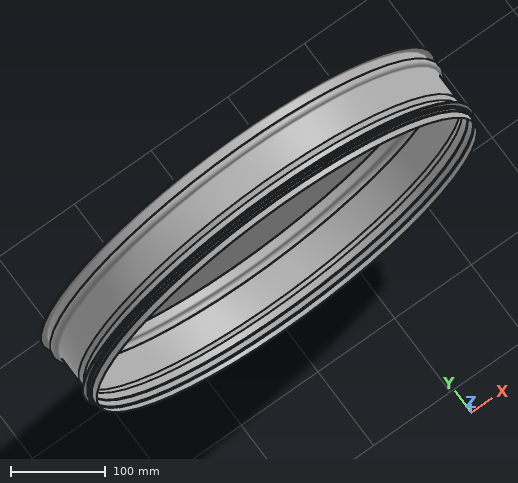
import cadquery as cq
import math

outer_diameter = 514.0
depth = 90.0
sheet = 0.5
plate_thickness = 1.5

flange_radius = outer_diameter / 2
wall_radius = 499.0 / 2
groove_radius = 493.5 / 2
bead_peak_radius = 511.0 / 2

flange_back = depth - plate_thickness
flange_front = flange_back - sheet
step_back = 31.5
step_front = 25.0
lip_slope_back = 15.0
lip_slope_front = 8.5

flange_bend = 1.5
lip_bend = 1.5
bead_centre = 72.5
bead_round = 4.5
bead_root_round = 2.0

gasket_radius = 500.0 / 2
gasket_front = 7.0
gasket_back = 16.5
fin_radius = 510.0 / 2
fin_thickness = 1.5
small_fin_radius = 504.0 / 2
small_fin_back = 12.5


def revolve(profile):
    """Turn a closed (radius, y) profile around the Y axis."""
    return profile.close().revolve(360, (0, 0, 0), (0, 1, 0))


def point_at(centre, radius, angle):
    """Point on a circle at an angle in degrees."""
    return (
        centre[0] + radius * math.cos(math.radians(angle)),
        centre[1] + radius * math.sin(math.radians(angle)),
    )


def add_arc(profile, centre, radius, start_angle, end_angle):
    """Continue a profile, already at the start angle, along an arc to the end angle."""
    middle = point_at(centre, radius, (start_angle + end_angle) / 2)
    return profile.threePointArc(middle, point_at(centre, radius, end_angle))


def add_bead(profile, inset, direction):
    """Continue a profile over the bead, inset into the sheet; direction +1 runs backward, -1 forward."""
    centre_radius = bead_peak_radius - bead_round
    root_radius = wall_radius + bead_root_round
    rise = root_radius - centre_radius
    spread = math.sqrt((bead_round + bead_root_round) ** 2 - rise**2)
    angle = math.degrees(math.atan2(spread, rise))
    root_round = bead_root_round + inset
    first_root = (root_radius, bead_centre - direction * spread)
    last_root = (root_radius, bead_centre + direction * spread)
    profile = profile.lineTo(*point_at(first_root, root_round, direction * 180))
    profile = add_arc(profile, first_root, root_round, direction * 180, direction * (180 - angle))
    profile = add_arc(
        profile, (centre_radius, bead_centre), bead_round - inset, -direction * angle, direction * angle
    )
    return add_arc(profile, last_root, root_round, direction * (angle - 180), -direction * 180)


def make_collar():
    """Rolled sheet collar with a rear flange, a round bead, a gasket groove and a front lip."""
    inner_wall = wall_radius - sheet
    inner_groove = groove_radius - sheet
    flange_bend_centre = (wall_radius + flange_bend, flange_front - flange_bend)
    lip_bend_centre = (wall_radius - lip_bend, lip_bend)

    profile = cq.Workplane("XY").moveTo(wall_radius - lip_bend, 0)
    profile = add_arc(profile, lip_bend_centre, lip_bend, -90, 0)
    profile = (
        profile.lineTo(wall_radius, lip_slope_front)
        .lineTo(groove_radius, lip_slope_back)
        .lineTo(groove_radius, step_front)
        .lineTo(wall_radius, step_back)
    )
    profile = add_bead(profile, 0, 1)
    profile = profile.lineTo(wall_radius, flange_front - flange_bend)
    profile = add_arc(profile, flange_bend_centre, flange_bend, 180, 90)
    profile = profile.lineTo(flange_radius, flange_front).lineTo(flange_radius, flange_back)

    profile = profile.lineTo(wall_radius + flange_bend, flange_back)
    profile = add_arc(profile, flange_bend_centre, flange_bend + sheet, 90, 180)
    profile = add_bead(profile, sheet, -1)
    profile = (
        profile.lineTo(inner_wall, step_back)
        .lineTo(inner_groove, step_front)
        .lineTo(inner_groove, lip_slope_back)
        .lineTo(inner_wall, lip_slope_front)
        .lineTo(inner_wall, lip_bend)
    )
    profile = add_arc(profile, lip_bend_centre, lip_bend - sheet, 0, -90)
    return revolve(profile)


def make_end_plate():
    """Flat round plate closing the rear end, lying against the collar flange."""
    return cq.Workplane("XZ", origin=(0, depth, 0)).circle(flange_radius).extrude(plate_thickness)


def make_gasket():
    """Sealing ring in the groove, resting on the lip slope, with a tall rear fin and a short fin."""
    fin_front = gasket_back - fin_thickness
    small_fin_front = small_fin_back - fin_thickness
    profile = (
        cq.Workplane("XY")
        .moveTo(groove_radius, gasket_back)
        .lineTo(groove_radius, lip_slope_back)
        .lineTo(wall_radius, lip_slope_front)
        .lineTo(wall_radius, gasket_front)
        .lineTo(gasket_radius, gasket_front)
        .lineTo(gasket_radius, small_fin_front)
        .lineTo(small_fin_radius, small_fin_front)
        .lineTo(small_fin_radius, small_fin_back)
        .lineTo(gasket_radius, small_fin_back)
        .lineTo(gasket_radius, fin_front)
        .lineTo(fin_radius, fin_front)
        .lineTo(fin_radius, gasket_back)
    )
    return revolve(profile)


collar = make_collar()
end_plate = make_end_plate()
gasket = make_gasket()
result = cq.Compound.makeCompound([collar.val(), end_plate.val(), gasket.val()])